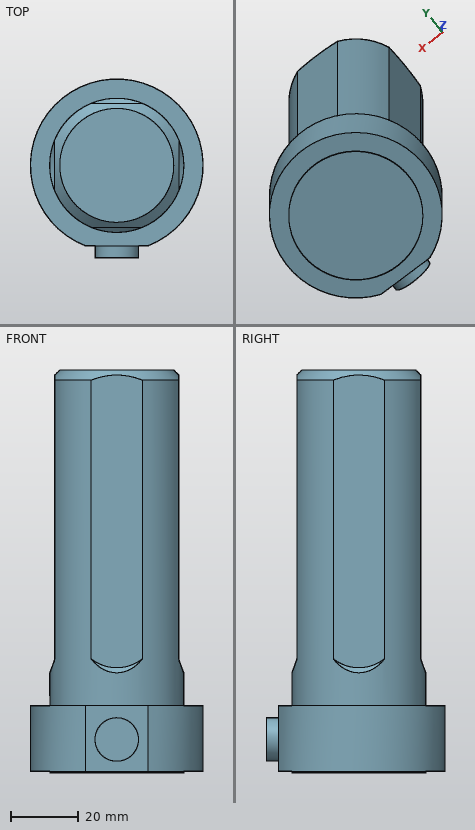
import cadquery as cq
import math

total_height = 120.0
total_depth = 53.3
shaft_diameter = 40.0
top_chamfer = 3.0

collar_diameter = 51.5
collar_bottom = 0.5
collar_top = 20.0
collar_flat_y = -24.0

pin_diameter = 13.0
pin_end_y = collar_diameter / 2 - total_depth
pin_z = 10.0

flat_distance = 18.5
flat_corner_z = 34.0
flat_bottom = 31.3
cutter_depth = 2.4

shaft_radius = shaft_diameter / 2


def make_shaft():
    shaft = cq.Workplane("XY").circle(shaft_radius).extrude(total_height)
    return shaft.faces(">Z").chamfer(top_chamfer)


def make_flat_cutter():
    """Tool for the +X flat: a straight block with a 45 degree cone as its rounded lower end."""
    half_width = math.sqrt(shaft_radius**2 - flat_distance**2)
    sagitta = flat_corner_z - flat_bottom
    floor_radius = (half_width**2 + sagitta**2) / (2 * sagitta)
    cone_center_z = flat_bottom + floor_radius
    outer_radius = floor_radius + cutter_depth

    cone = cq.Workplane(
        cq.Solid.makeCone(
            floor_radius,
            outer_radius,
            cutter_depth,
            pnt=cq.Vector(flat_distance, 0, cone_center_z),
            dir=cq.Vector(1, 0, 0),
        )
    )
    block = (
        cq.Workplane("XY")
        .box(cutter_depth, 2 * floor_radius, total_height, centered=(False, True, False))
        .translate((flat_distance, 0, cone_center_z))
    )
    return cone.union(block)


def make_collar():
    height = collar_top - collar_bottom
    collar = cq.Workplane("XY", origin=(0, 0, collar_bottom)).circle(collar_diameter / 2).extrude(height)
    beyond_flat = (
        cq.Workplane("XY")
        .box(collar_diameter, collar_diameter, total_height, centered=(True, False, False))
        .translate((0, collar_flat_y - collar_diameter, 0))
    )
    return collar.cut(beyond_flat)


def make_pin():
    return cq.Workplane("XZ").center(0, pin_z).circle(pin_diameter / 2).extrude(-pin_end_y)


shaft = make_shaft()
for angle in (0, 90, 180, 270):
    shaft = shaft.cut(make_flat_cutter().rotate((0, 0, 0), (0, 0, 1), angle))

result = shaft.union(make_collar()).union(make_pin())